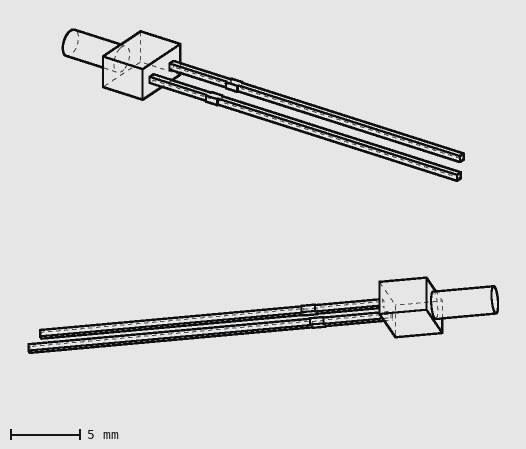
import cadquery as cq


total_length = 35.0
body_width = 4.8
body_height = 2.5

body_length = 3.5
lens_length = 4.5
lens_diameter = 2.0

lead_thickness = 0.5
lead_pitch = 2.54
long_lead_length = total_length - lens_length - body_length
lead_length_difference = 1.5
short_lead_length = long_lead_length - lead_length_difference

stop_distance = 5.0
stop_length = 1.0
stop_width = 0.7


def block_along_x(start_x, center_y, length, width, height):
    """Block running toward +X from start_x, centered on center_y and Z = 0."""
    block = cq.Workplane("XY").box(length, width, height, centered=(False, True, True))
    return block.translate((start_x, center_y, 0))


def make_lens():
    """Cylinder running from the front face of the body toward -X."""
    front_face = cq.Workplane("YZ").workplane(offset=-body_length)
    return front_face.circle(lens_diameter / 2).extrude(-lens_length)


def make_lead(center_y, length):
    """Square lead starting at the body, with its flat standoff stop."""
    wire = block_along_x(0, center_y, length, lead_thickness, lead_thickness)
    stop = block_along_x(stop_distance, center_y, stop_length, stop_width, lead_thickness)
    return wire.union(stop)


body = block_along_x(-body_length, 0, body_length, body_width, body_height)
long_lead = make_lead(-lead_pitch / 2, long_lead_length)
short_lead = make_lead(lead_pitch / 2, short_lead_length)

result = body.union(make_lens()).union(long_lead).union(short_lead)